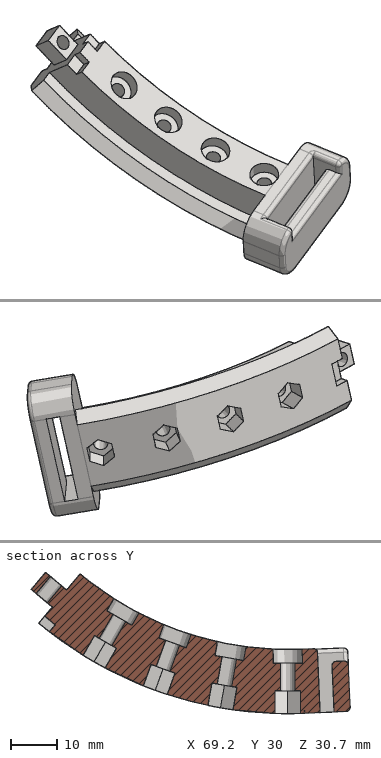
import cadquery as cq
import math


arc_radius = 84.05
rail_height = 14.0
base_height = 5.0
rail_chamfer = base_height / 2
base_half_width = 10.0
stem_half_width = base_half_width / 2
tongue_angle = -40
buckle_angle = 2.5

hole_angles = (-30, -20, -10, 0)
hole_diameter = 3.1
counterbore_diameter = 6.2
counterbore_depth = 3.0
nut_across_flats = 5.5
nut_depth = 5.0

tongue_length = 5.95
tongue_base = 4.6
tongue_height = 4.85
tongue_width = 4.9
pin_diameter = 3.1
pin_from_tip = tongue_length / 2
notch_length = 3.0
notch_depth = 2.0
bottom_notch_width = 5.3
top_rib_width = 3.5

buckle_length = 10.0
buckle_width = 30.0
buckle_corner_radius = 5.0
edge_radius = 1.0
wall_thickness = 3.4
bar_thickness = 3.6
bar_drop = 3.0
slot_half_width = 10.05


def swing(shape, angle):
    """Carry a shape along the arc; positive angles move it towards +X."""
    return shape.rotate((0, 0, arc_radius), (0, 1, arc_radius), -angle)


def box(x_range, y_half, z_range):
    """Box centred on Y = 0 between the given X and Z limits."""
    size = (x_range[1] - x_range[0], 2 * y_half, z_range[1] - z_range[0])
    corner = (x_range[0], -y_half, z_range[0])
    return cq.Workplane("XY").box(*size, centered=False).translate(corner)


def make_rail():
    half_outline = [
        (base_half_width - rail_chamfer, 0),
        (base_half_width, rail_chamfer),
        (base_half_width - rail_chamfer, base_height),
        (stem_half_width, base_height),
        (stem_half_width, rail_height),
    ]
    mirrored = [(-y, z) for y, z in reversed(half_outline)]
    rail = (
        cq.Workplane("YZ")
        .polyline(half_outline + mirrored)
        .close()
        .revolve(buckle_angle - tongue_angle, (0, arc_radius), (1, arc_radius))
    )
    return swing(rail, buckle_angle)


def make_screw_hole():
    shaft = cq.Workplane("XY").circle(hole_diameter / 2).extrude(rail_height)
    counterbore = (
        cq.Workplane("XY", origin=(0, 0, rail_height - counterbore_depth))
        .circle(counterbore_diameter / 2)
        .extrude(2 * counterbore_depth)
    )
    across_corners = nut_across_flats / math.cos(math.pi / 6)
    nut_trap = (
        cq.Workplane("XY", origin=(0, 0, -nut_depth))
        .transformed(rotate=(0, 0, 90))
        .polygon(6, across_corners)
        .extrude(2 * nut_depth)
    )
    return shaft.union(counterbore).union(nut_trap)


def make_tongue():
    tongue = box((-tongue_length, 0), tongue_width / 2, (tongue_base, tongue_base + tongue_height))
    pin_hole = (
        cq.Workplane("XY")
        .center(pin_from_tip - tongue_length, 0)
        .circle(pin_diameter / 2)
        .extrude(rail_height)
    )
    return tongue.cut(pin_hole)


def make_end_notches():
    reach = (-notch_length, notch_length)
    bottom = box(reach, bottom_notch_width / 2, (-notch_depth, notch_depth))
    top_range = (rail_height - notch_depth, rail_height + notch_depth)
    top_rib = box(reach, top_rib_width / 2, top_range)
    top = box(reach, base_half_width, top_range).cut(top_rib)
    return bottom.union(top)


def make_buckle():
    block = (
        box((0, buckle_length), buckle_width / 2, (0, rail_height))
        .edges("|X")
        .fillet(buckle_corner_radius)
    )
    rounded_block = block.faces(">X").edges().fillet(edge_radius)

    channel = box((wall_thickness, buckle_length), slot_half_width, (0, rail_height))
    frame = block.cut(channel)
    channel_top = cq.selectors.BoxSelector(
        (wall_thickness - edge_radius, -slot_half_width - edge_radius, rail_height - edge_radius),
        (buckle_length, slot_half_width + edge_radius, rail_height + edge_radius),
    )
    rounded_edges = frame.edges(channel_top).add(frame.faces(">X").edges())
    frame = rounded_edges.fillet(edge_radius)

    bar_range = (buckle_length - bar_thickness, buckle_length)
    bar = box(bar_range, slot_half_width + edge_radius, (0, rail_height - bar_drop))
    bar = bar.edges("|Y and >Z").fillet(edge_radius)
    return frame.union(bar.intersect(rounded_block))


result = make_rail()
for angle in hole_angles:
    result = result.cut(swing(make_screw_hole(), angle))
result = result.cut(swing(make_end_notches(), tongue_angle))
result = result.union(swing(make_tongue(), tongue_angle))
result = result.union(swing(make_buckle(), buckle_angle))